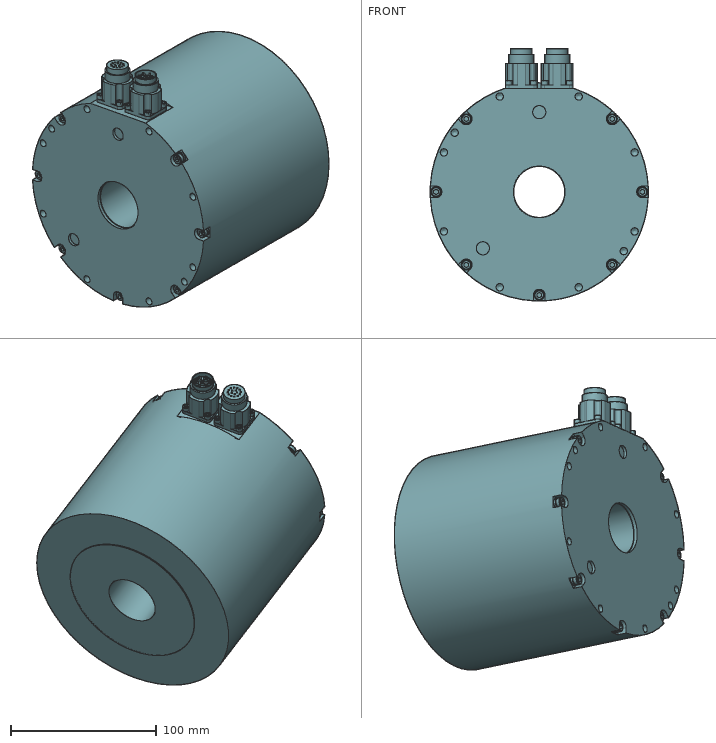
import cadquery as cq
import math

OVERALL_HEIGHT = 173.5
OVERALL_LENGTH = 140.0
BODY_DIAMETER = 150.0
BODY_RADIUS = BODY_DIAMETER / 2
REAR_BOSS_DIAMETER = 97.0
REAR_BOSS_HEIGHT = 0.9
BODY_LENGTH = OVERALL_LENGTH - REAR_BOSS_HEIGHT

BORE_DIAMETER = 36.0
LIP_DIAMETER = 35.0
LIP_LENGTH = 3.0

FLAT_DROP = 4.0
FLAT_LENGTH = 30.2
FLAT_HEIGHT = BODY_RADIUS - FLAT_DROP

RIM_CIRCLE_RADIUS = 71.0
TAPPED_HOLE_DIAMETER = 5.0
TAPPED_HOLE_DEPTH = 10.0
TAPPED_HOLE_ANGLES = [22.5 + 45 * i for i in range(8)] + [145, 325]
DRILL_TIP_ANGLE = 118
RECESS_DIAMETER = 9.0
RECESS_DEPTH = 2.0
RECESS_CIRCLE_RADIUS = 54.8
RECESS_ANGLES = [90, 225]

RIM_SCREW_ANGLES = [45 * i for i in range(8) if i != 2]
SLOT_WIDTH = 8.0
SLOT_DEPTH = 7.0
RIM_HEAD_DIAMETER = 7.0
RIM_HEAD_HEIGHT = 3.6
RIM_HEAD_CHAMFER = 0.5
RIM_HEAD_SETBACK = 1.9
RIM_SOCKET_SIZE = 3.1
RIM_SOCKET_DEPTH = 2.0

CONNECTOR_HEIGHT = OVERALL_HEIGHT - BODY_RADIUS - FLAT_HEIGHT
CONNECTOR_OFFSET = 12.3
CONNECTOR_SETBACK = 15.1
FLANGE_WIDTH = 22.0
FLANGE_DEPTH = 21.3
FLANGE_THICKNESS = 2.5
FLANGE_CORNER_RADIUS = 2.5
SHELL_SIDE_FLAT = 1.0
SHELL_DIAMETER = math.hypot(FLANGE_WIDTH, SHELL_SIDE_FLAT)
SHELL_TOP = 17.3
COLLAR_DIAMETER = 17.3
COLLAR_TOP = 23.5
CAP_DIAMETER = 15.0

FLANGE_SCREW_OFFSET = 8.5
NOTCH_DIAMETER = 5.5
FLANGE_HEAD_DIAMETER = 4.5
FLANGE_HEAD_HEIGHT = 3.0
FLANGE_SOCKET_SIZE = 2.5
FLANGE_SOCKET_DEPTH = 1.4

OUTER_CONTACT_COUNT = 12
OUTER_CONTACT_RADIUS = 4.3
INNER_CONTACT_COUNT = 5
INNER_CONTACT_RADIUS = 1.9
SOCKET_HOLE_DIAMETER = 1.0
SOCKET_HOLE_DEPTH = 3.5
CUP_DIAMETER = 13.9
CUP_DEPTH = 4.0
PIN_COUNT = 6
PIN_DIAMETER = 1.0
PIN_SLEEVE_DIAMETER = 3.1
PIN_HEIGHT = 3.5
PIN_SLEEVE_HEIGHT = 2.0


def polar(radius, angle):
    return radius * math.cos(math.radians(angle)), radius * math.sin(math.radians(angle))


def rod(diameter, start, length):
    """Cylinder on the Y axis, from y = start towards the rear."""
    return cq.Workplane("XZ", origin=(0, start, 0)).circle(diameter / 2).extrude(-length)


def post(diameter, bottom, top):
    """Cylinder on the Z axis between two heights."""
    return cq.Workplane("XY").workplane(offset=bottom).circle(diameter / 2).extrude(top - bottom)


def on_face(shape, radius, angle):
    """Move a shape from the Y axis to a place on the front face."""
    x, z = polar(radius, angle)
    return shape.translate((x, 0, z))


def housing():
    body = rod(BODY_DIAMETER, 0, BODY_LENGTH)
    body = body.union(rod(REAR_BOSS_DIAMETER, BODY_LENGTH, REAR_BOSS_HEIGHT))
    body = body.cut(rod(LIP_DIAMETER, 0, LIP_LENGTH))
    body = body.cut(rod(BORE_DIAMETER, LIP_LENGTH, OVERALL_LENGTH - LIP_LENGTH))
    flat = cq.Workplane("XY").box(BODY_DIAMETER, FLAT_LENGTH, FLAT_DROP, centered=(True, False, False))
    return body.cut(flat.translate((0, 0, FLAT_HEIGHT)))


def tapped_hole():
    radius = TAPPED_HOLE_DIAMETER / 2
    tip_length = radius / math.tan(math.radians(DRILL_TIP_ANGLE / 2))
    profile = [(0, 0), (radius, 0), (radius, TAPPED_HOLE_DEPTH), (0, TAPPED_HOLE_DEPTH + tip_length)]
    return cq.Workplane("XY").polyline(profile).close().revolve(360, (0, 0), (0, 1))


def rim_slot(angle):
    """Round-bottomed slot running radially out through the rim."""
    center = cq.Workplane("XZ").center(RIM_CIRCLE_RADIUS, 0)
    slot = center.circle(SLOT_WIDTH / 2).extrude(-SLOT_DEPTH)
    slot = slot.union(center.center(SLOT_WIDTH / 2, 0).rect(SLOT_WIDTH, SLOT_WIDTH).extrude(-SLOT_DEPTH))
    return slot.rotate((0, 0, 0), (0, 1, 0), -angle)


def rim_screw():
    """Socket head on a washer of the same diameter."""
    head = rod(RIM_HEAD_DIAMETER, RIM_HEAD_SETBACK, RIM_HEAD_HEIGHT).edges().chamfer(RIM_HEAD_CHAMFER)
    washer_start = RIM_HEAD_SETBACK + RIM_HEAD_HEIGHT
    washer = rod(RIM_HEAD_DIAMETER, washer_start, SLOT_DEPTH - washer_start)
    socket_plane = cq.Workplane("XZ", origin=(0, RIM_HEAD_SETBACK, 0))
    socket = socket_plane.polygon(6, RIM_SOCKET_SIZE, circumscribed=True).extrude(-RIM_SOCKET_DEPTH)
    return head.cut(socket).union(washer)


def notched_shell():
    """Round shell trimmed flush with the flange sides, notched around the four flange screws."""
    shell = post(SHELL_DIAMETER, FLANGE_THICKNESS, SHELL_TOP)
    shell = shell.intersect(cq.Workplane("XY").box(FLANGE_WIDTH, FLANGE_DEPTH, 2 * SHELL_TOP))
    radius = NOTCH_DIAMETER / 2
    notch = cq.Workplane("XY").rect(2 * NOTCH_DIAMETER, 2 * NOTCH_DIAMETER).extrude(SHELL_TOP)
    notch = notch.translate((NOTCH_DIAMETER - radius, NOTCH_DIAMETER - radius, FLANGE_THICKNESS))
    notch = notch.edges("|Z and <X and <Y").fillet(radius)
    notch = notch.translate((FLANGE_SCREW_OFFSET, FLANGE_SCREW_OFFSET, 0))
    for i in range(4):
        shell = shell.cut(notch.rotate((0, 0, 0), (0, 0, 1), 90 * i))
    return shell


def flange_screw():
    head_top = FLANGE_THICKNESS + FLANGE_HEAD_HEIGHT
    socket = cq.Workplane("XY").workplane(offset=head_top)
    socket = socket.polygon(6, FLANGE_SOCKET_SIZE, circumscribed=True).extrude(-FLANGE_SOCKET_DEPTH)
    return post(FLANGE_HEAD_DIAMETER, FLANGE_THICKNESS, head_top).cut(socket)


def connector():
    flange = cq.Workplane("XY").rect(FLANGE_WIDTH, FLANGE_DEPTH).extrude(FLANGE_THICKNESS)
    flange = flange.edges("|Z").fillet(FLANGE_CORNER_RADIUS)
    body = flange.union(notched_shell())
    body = body.union(post(COLLAR_DIAMETER, FLANGE_THICKNESS, COLLAR_TOP))
    body = body.union(post(CAP_DIAMETER, FLANGE_THICKNESS, CONNECTOR_HEIGHT))
    for side_x in (-FLANGE_SCREW_OFFSET, FLANGE_SCREW_OFFSET):
        for side_y in (-FLANGE_SCREW_OFFSET, FLANGE_SCREW_OFFSET):
            body = body.union(flange_screw().translate((side_x, side_y, 0)))
    return body


def socket_connector():
    """Connector with contact holes in a closed top."""
    body = connector()
    outer_ring = (OUTER_CONTACT_RADIUS, OUTER_CONTACT_COUNT)
    inner_ring = (INNER_CONTACT_RADIUS, INNER_CONTACT_COUNT)
    for radius, count in (outer_ring, inner_ring):
        holes = cq.Workplane("XY").workplane(offset=CONNECTOR_HEIGHT)
        holes = holes.polarArray(radius, -90, 360, count)
        holes = holes.circle(SOCKET_HOLE_DIAMETER / 2).extrude(-SOCKET_HOLE_DEPTH)
        body = body.cut(holes)
    return body


def pin_connector():
    """Connector with an open cup holding contact pins, all sleeved but the rearmost one."""
    floor = CONNECTOR_HEIGHT - CUP_DEPTH
    body = connector().cut(post(CUP_DIAMETER, floor, CONNECTOR_HEIGHT))
    pin = post(PIN_DIAMETER, floor, floor + PIN_HEIGHT)
    sleeved_pin = pin.union(post(PIN_SLEEVE_DIAMETER, floor, floor + PIN_SLEEVE_HEIGHT))
    body = body.union(sleeved_pin)
    for i in range(PIN_COUNT):
        x, y = polar(OUTER_CONTACT_RADIUS, 90 + 360 / PIN_COUNT * i)
        ring_pin = pin if i == 0 else sleeved_pin
        body = body.union(ring_pin.translate((x, y, 0)))
    return body


result = housing()
for hole_angle in TAPPED_HOLE_ANGLES:
    result = result.cut(on_face(tapped_hole(), RIM_CIRCLE_RADIUS, hole_angle))
for recess_angle in RECESS_ANGLES:
    result = result.cut(on_face(rod(RECESS_DIAMETER, 0, RECESS_DEPTH), RECESS_CIRCLE_RADIUS, recess_angle))
for screw_angle in RIM_SCREW_ANGLES:
    result = result.cut(rim_slot(screw_angle))
    result = result.union(on_face(rim_screw(), RIM_CIRCLE_RADIUS, screw_angle))
result = result.union(socket_connector().translate((-CONNECTOR_OFFSET, CONNECTOR_SETBACK, FLAT_HEIGHT)))
result = result.union(pin_connector().translate((CONNECTOR_OFFSET, CONNECTOR_SETBACK, FLAT_HEIGHT)))